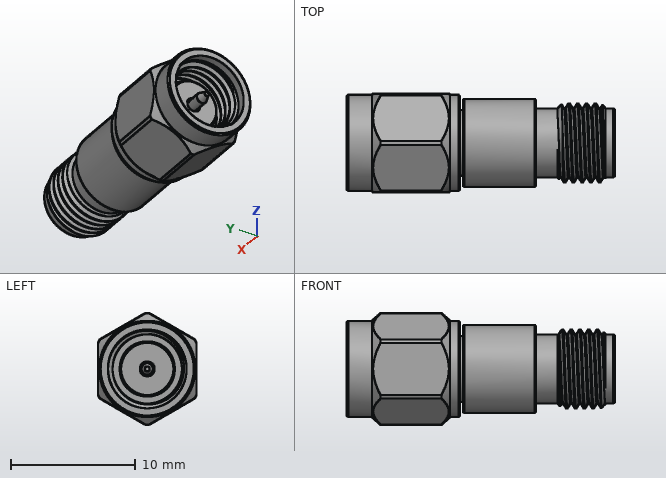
import cadquery as cq
import math


nut_hex_start = 2.03
nut_hex_end = 8.33
nut_end = 9.12
body_start = 9.35
body_end = 15.24
thread_start = 16.98
thread_end = 20.85
total_length = 21.59

nut_collar_diameter = 7.76
hex_across_flats = 7.94
hex_corner_diameter = 8.99
neck_diameter = 5.33
body_diameter = 7.11
barrel_diameter = 5.58
thread_diameter = 6.35

nut_edge_break = 0.13
body_edge_break = 0.13
barrel_edge_break = 0.13
hex_bevel_length = 0.7

thread_pitch = 25.4 / 36
thread_root_width = 0.58
thread_crest_width = 0.1
thread_overlap = 0.05
outer_thread_bottom_crest = 17.02
nut_groove_bottom_crest = 0.67

entry_diameter = 6.35
entry_depth = 0.82
nut_minor_diameter = 5.58
nut_major_diameter = 6.3
nut_floor = 4.3
boss_diameter = 4.45
boss_face = 2.54
boss_edge_break = 0.12
pin_gap_diameter = 1.19
pin_gap_depth = 0.5
pin_diameter = 0.94
pin_tip_diameter = 0.4
pin_tip = 0.5
pin_cone_length = 0.76


def revolve_about_x(points):
    """Solid of revolution about X from an (x, radius) outline."""
    return cq.Workplane("XY").polyline(points).close().revolve(360, (0, 0, 0), (1, 0, 0))


def cylinder(start, end, diameter):
    return cq.Workplane("YZ", origin=(start, 0, 0)).circle(diameter / 2).extrude(end - start)


def edge_broken_cylinder(start, end, diameter, edge_break, edges="<X or >X"):
    return cylinder(start, end, diameter).faces(edges).edges().chamfer(edge_break)


def make_hex():
    """Hexagon with corners on Z, turned to the corner diameter and bevelled at both ends."""
    corner_to_corner = hex_across_flats / math.cos(math.pi / 6)
    length = nut_hex_end - nut_hex_start
    prism = (
        cq.Workplane("YZ", origin=(nut_hex_start, 0, 0))
        .transformed(rotate=(0, 0, 90))
        .polygon(6, corner_to_corner)
        .extrude(length)
    )
    collar_radius = nut_collar_diameter / 2
    corner_radius = hex_corner_diameter / 2
    envelope = revolve_about_x([
        (nut_hex_start, 0),
        (nut_hex_start, collar_radius),
        (nut_hex_start + hex_bevel_length, corner_radius),
        (nut_hex_end - hex_bevel_length, corner_radius),
        (nut_hex_end, collar_radius),
        (nut_hex_end, 0),
    ])
    return prism.intersect(envelope)


def helical_tooth(first_bottom_crest, end, root_diameter, crest_diameter):
    """Right-handed helical tooth whose centre runs from -Z at its first station to the end station.

    Its foot reaches a little inside the root diameter, so that it overlaps what lies there.
    """
    root_radius = root_diameter / 2
    crest_radius = crest_diameter / 2
    flank_slope = (thread_root_width - thread_crest_width) / 2 / (crest_radius - root_radius)
    half_crest = thread_crest_width / 2
    half_foot = thread_root_width / 2 + flank_slope * thread_overlap
    helix = cq.Wire.makeHelix(thread_pitch, end - first_bottom_crest, root_radius)
    return (
        cq.Workplane("XZ")
        .polyline([
            (root_radius - thread_overlap, -half_foot),
            (crest_radius, -half_crest),
            (crest_radius, half_crest),
            (root_radius - thread_overlap, half_foot),
        ])
        .close()
        .sweep(cq.Workplane(obj=helix), isFrenet=True)
        .rotate((0, 0, 0), (0, 1, 0), 90)
        .translate((first_bottom_crest, 0, 0))
    )


def make_outer_thread():
    """Helical ridge on the barrel, bevelled at 45 degrees at both ends."""
    ridge = helical_tooth(
        outer_thread_bottom_crest - thread_pitch,
        thread_end + thread_pitch,
        barrel_diameter,
        thread_diameter,
    )
    barrel_radius = barrel_diameter / 2
    bevel_length = (thread_diameter - barrel_diameter) / 2 + thread_overlap
    envelope = revolve_about_x([
        (thread_start, 0),
        (thread_start, barrel_radius),
        (thread_start + bevel_length, barrel_radius + bevel_length),
        (thread_end - bevel_length, barrel_radius + bevel_length),
        (thread_end, barrel_radius),
        (thread_end, 0),
    ])
    return ridge.intersect(envelope)


def make_entry_bore():
    """Plain entry bore with a 45 degree lead-in to the minor bore and a flat floor."""
    entry_radius = entry_diameter / 2
    minor_radius = nut_minor_diameter / 2
    return revolve_about_x([
        (0, 0),
        (0, entry_radius),
        (entry_depth, entry_radius),
        (entry_depth + entry_radius - minor_radius, minor_radius),
        (nut_floor, minor_radius),
        (nut_floor, 0),
    ])


def make_nut_groove():
    """Helical groove of the nut's inner thread, stopped at the floor."""
    groove = helical_tooth(
        nut_groove_bottom_crest,
        nut_floor + thread_pitch,
        nut_minor_diameter,
        nut_major_diameter,
    )
    return groove.intersect(cylinder(0, nut_floor, nut_collar_diameter))


def make_plug_boss():
    """Round boss standing on the cavity floor, with a ring gap sunk around the pin."""
    boss = edge_broken_cylinder(boss_face, nut_floor, boss_diameter, boss_edge_break, "<X")
    return boss.cut(cylinder(boss_face, boss_face + pin_gap_depth, pin_gap_diameter))


def make_pin():
    pin_radius = pin_diameter / 2
    return revolve_about_x([
        (pin_tip, 0),
        (pin_tip, pin_tip_diameter / 2),
        (pin_tip + pin_cone_length, pin_radius),
        (nut_floor, pin_radius),
        (nut_floor, 0),
    ])


nut = edge_broken_cylinder(0, nut_end, nut_collar_diameter, nut_edge_break).union(make_hex())
nut = nut.cut(make_entry_bore()).cut(make_nut_groove())
neck = cylinder(nut_end, body_start, neck_diameter)
body = edge_broken_cylinder(body_start, body_end, body_diameter, body_edge_break)
barrel = edge_broken_cylinder(body_end, total_length, barrel_diameter, barrel_edge_break, ">X")
barrel = barrel.union(make_outer_thread())

result = nut.union(make_plug_boss()).union(make_pin()).union(neck).union(body).union(barrel)